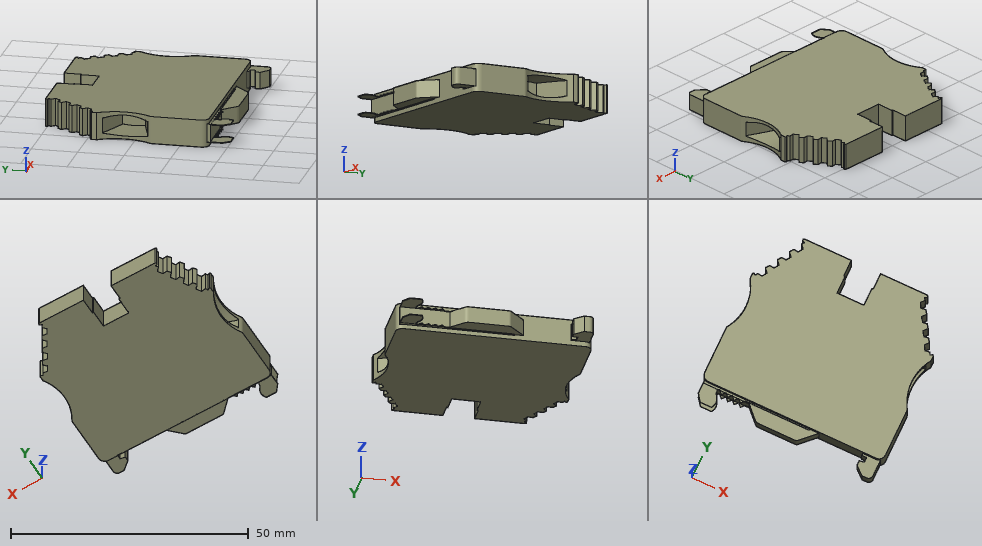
import cadquery as cq

half_width = 21.0
body_height = 36.5
thickness = 6.0
corner_radius = 1.5

notch_depth = 7.65
notch_upper_half = 3.4
notch_lower_half = 3.1
notch_step_depth = 3.65

tooth_count = 4
lead_in = [(14.2, body_height), (14.5, 36.35), (14.5, 36.05), (13.95, 35.8), (14.35, 35.3)]
first_valley = (13.6, 34.45)
tooth_pitch = (1.55, -2.65)
tooth_corners = [(0, 0), (0.67, -1.05), (1.72, -0.92), (2.35, -1.75)]
lead_out = [(20.3, 25.05), (20.8, 25.33), (half_width, 25.07)]

grip_top = 23.95
grip_bottom = 12.3
grip_center = 17.98
grip_depth = 1.75
grip_lower_radius = 1.25

pocket_center = 17.95
pocket_mouth_x = 20.0
pocket_mouth_half = 4.87
pocket_back_x = 11.95
pocket_back_half = 2.45
pocket_end_half_height = 1.65
pocket_mid_half_height = 2.3

foot_reach = 4.55
foot_half_height = 1.85
cheek_thickness = 0.15
foot_outer_x = 20.4
foot_overlap = 1.05
foot_chamfer_top_y = -2.95
foot_bottom_x = (-19.15, -16.65)
foot_toe_bulge = (-16.15, -3.2)
foot_toe_top = (-16.5, -2.0)
foot_throat = [(-16.9, -1.55), (-17.1, -0.67)]
strip_depth = 0.3
strip_end_x = 4.25
rack_count = 4
rack_first_x = -16.65
rack_pitch = 1.45
rack_root_y = -0.38
rack_tip_y = -1.15

slab_depth = 0.45
wedge_depth = 3.5
wedge_start_x = -9.75
wedge_end_x = 6.2
wedge_flat_end_x = 2.65
wedge_left_radius = 1.25
wedge_right_radius = 0.67

hook_reach = 4.45
hook_inner_x = 16.4
hook_slot_x = 17.5
hook_slot_floor_y = -1.55
hook_nose_top_y = -1.72
hook_nose_bottom_y = -2.8
hook_bottom_x = 18.3
hook_corner_radius = 1.0


def prism(outline, half_height):
    """Solid from a closed XY outline, centred on Z = 0."""
    return outline.close().extrude(half_height, both=True)


def mirror_x(points):
    return [(-x, y) for x, y in reversed(points)]


def shoulder_points():
    """Right-hand outline from the top edge down to the start of the grip."""
    points = list(lead_in)
    for i in range(tooth_count):
        valley_x = first_valley[0] + i * tooth_pitch[0]
        valley_y = first_valley[1] + i * tooth_pitch[1]
        corners = tooth_corners if i < tooth_count - 1 else tooth_corners[:-1]
        points += [(valley_x + dx, valley_y + dy) for dx, dy in corners]
    points += lead_out + [(half_width, grip_top)]
    return points


def make_body():
    right = shoulder_points()
    grip_x = half_width - grip_depth
    step_y = body_height - notch_step_depth
    notch_floor = body_height - notch_depth
    notch_right = [
        (notch_lower_half, notch_floor),
        (notch_lower_half, step_y),
        (notch_upper_half, step_y),
        (notch_upper_half, body_height),
    ]
    outline = (
        cq.Workplane("XY")
        .polyline(mirror_x(notch_right) + notch_right + right)
        .threePointArc((grip_x, grip_center), (half_width, grip_bottom))
        .lineTo(half_width, 0)
        .lineTo(-half_width, 0)
        .lineTo(-half_width, grip_bottom)
        .threePointArc((-grip_x, grip_center), (-half_width, grip_top))
    )
    for point in mirror_x(right)[1:]:
        outline = outline.lineTo(*point)
    body = prism(outline, thickness / 2)
    bottom_corners = cq.selectors.BoxSelector(
        (-half_width - 0.4, -0.4, -thickness), (half_width + 0.4, 0.4, thickness)
    )
    body = body.edges("|Z").edges(bottom_corners).fillet(corner_radius)
    grip_ends = cq.selectors.BoxSelector(
        (-half_width - 0.4, grip_bottom - 0.4, -thickness), (half_width + 0.4, grip_bottom + 0.4, thickness)
    )
    return body.edges("|Z").edges(grip_ends).fillet(grip_lower_radius)


def make_pocket():
    """Cutter for the +X pocket: tapered plan crossed with a barrel section."""
    low = pocket_center - pocket_mouth_half
    high = pocket_center + pocket_mouth_half
    plan = cq.Workplane("XY").polyline([
        (pocket_back_x, pocket_center - pocket_back_half),
        (pocket_mouth_x, low),
        (half_width, low),
        (half_width, high),
        (pocket_mouth_x, high),
        (pocket_back_x, pocket_center + pocket_back_half),
    ])
    barrel = (
        cq.Workplane("YZ")
        .moveTo(low, -pocket_end_half_height)
        .threePointArc((pocket_center, -pocket_mid_half_height), (high, -pocket_end_half_height))
        .lineTo(high, pocket_end_half_height)
        .threePointArc((pocket_center, pocket_mid_half_height), (low, pocket_end_half_height))
        .close()
        .extrude(half_width)
    )
    return prism(plan, thickness / 2).intersect(barrel)


def make_cheek():
    """Thin upper plate with the -X foot, the small rack and a long strip."""
    outline = (
        cq.Workplane("XY")
        .moveTo(strip_end_x, foot_overlap)
        .lineTo(-foot_outer_x, foot_overlap)
        .lineTo(-foot_outer_x, foot_chamfer_top_y)
        .lineTo(foot_bottom_x[0], -foot_reach)
        .lineTo(foot_bottom_x[1], -foot_reach)
        .threePointArc(foot_toe_bulge, foot_toe_top)
    )
    for point in foot_throat:
        outline = outline.lineTo(*point)
    outline = outline.lineTo(foot_throat[0][0], rack_root_y)
    for i in range(rack_count):
        root_x = rack_first_x + i * rack_pitch
        outline = outline.lineTo(root_x, rack_root_y)
        outline = outline.lineTo(root_x + rack_pitch / 2, rack_tip_y)
    outline = (
        outline.lineTo(rack_first_x + rack_count * rack_pitch, -strip_depth)
        .lineTo(strip_end_x - strip_depth, -strip_depth)
        .lineTo(strip_end_x, 0)
    )
    return outline.close().extrude(cheek_thickness).translate((0, 0, foot_half_height))


def make_wedge():
    flat_start_x = wedge_start_x + wedge_depth - slab_depth
    outline = cq.Workplane("XY").polyline([
        (-foot_outer_x, foot_overlap),
        (-foot_outer_x, -slab_depth),
        (wedge_start_x, -slab_depth),
        (flat_start_x, -wedge_depth),
        (wedge_flat_end_x, -wedge_depth),
        (wedge_end_x, 0),
        (wedge_end_x, foot_overlap),
    ])
    wedge = prism(outline, foot_half_height)
    wedge = wedge.faces("<Y").edges("|Z").edges("<X").fillet(wedge_left_radius)
    return wedge.faces("<Y").edges("|Z").edges(">X").fillet(wedge_right_radius)


def make_hook():
    outline = cq.Workplane("XY").polyline([
        (hook_inner_x, foot_overlap),
        (hook_inner_x, -slab_depth),
        (hook_slot_x, -slab_depth),
        (hook_slot_x, hook_slot_floor_y),
        (hook_inner_x, hook_nose_top_y),
        (hook_inner_x, hook_nose_bottom_y),
        (hook_bottom_x, -hook_reach),
        (foot_outer_x, -hook_reach),
        (foot_outer_x, foot_overlap),
    ])
    hook = prism(outline, foot_half_height)
    return hook.faces("<Y").edges(">X").fillet(hook_corner_radius)


pocket = make_pocket()
cheek = make_cheek()
result = (
    make_body()
    .cut(pocket)
    .cut(pocket.mirror("YZ"))
    .union(make_wedge())
    .union(make_hook())
    .union(cheek)
    .union(cheek.mirror("XY"))
)